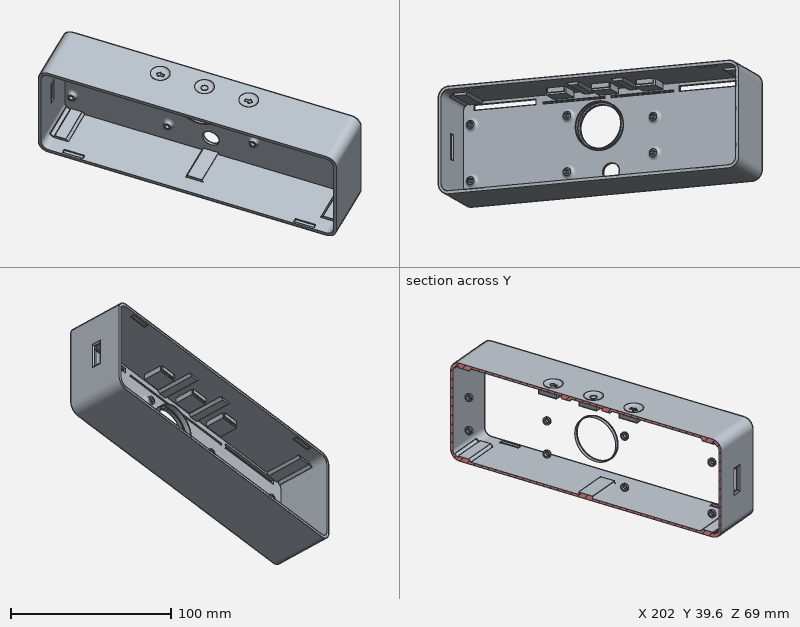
import cadquery as cq
import math

LENGTH = 202.0
DEPTH = 39.6
HEIGHT = 69.0
WALL = 2.0
OUTER_RADIUS = 7.0
INNER_RADIUS = OUTER_RADIUS - WALL

INNER_X = LENGTH / 2 - WALL
INNER_Z = HEIGHT / 2 - WALL
BACK_Y = DEPTH - WALL

BIG_HOLE_CENTER = (-7.0, 9.3)
BIG_HOLE_RADIUS = 13.9
COLLAR_OUTER_RADIUS = 15.5
COLLAR_INNER_RADIUS = 15.0
COLLAR_HEIGHT = 3.8
CABLE_HOLE_CENTER = (0.0, -20.3)
CABLE_HOLE_RADIUS = 5.6
VENT_BOTTOM = 27.1
VENT_TOP = 30.6
WIDE_VENTS = [(-92.2, -50.5), (45.9, 91.9)]
SLIT_TOP = 28.3
SLITS = [(-45.8, -4.1), (0.1, 42.0)]

POST_BASE_RADIUS = 4.9
POST_TIP_RADIUS = 2.5
POST_HEIGHT = 3.0
POST_HOLE_RADIUS = 1.4
LEFT_POST_XS = (-93.4, -28.4)
LEFT_POST_ZS = (17.5, -18.5)
RIGHT_POST_XS = (29.5, 87.7)
RIGHT_POST_ZS = (11.8, -11.4)

RAIL_HEIGHT = 1.7
RAIL_LENGTH = 26.2
CORNER_RAIL_START_X = 85.5
CORNER_RAIL_END_X = 95.0
CORNER_PAD_THICKNESS = 0.5
CORNER_PAD_END_ANGLE = 55.0
FLOOR_RAIL_WIDTH = 10.5
FLOOR_RAIL_FOOT_RADIUS = 0.8
CEILING_RAIL_X = 15.0
CEILING_RAIL_WIDTH = 8.8

BUTTON_SPACING = 30.0
BUTTON_Y = 27.4
DISH_RADIUS = 6.2
DISH_FLOOR_RADIUS = 4.4
DISH_DEPTH = 1.0
SYMBOL_DEPTH = 0.3
SYMBOL_RADIUS = 2.2
ARROW_HEAD_LENGTH = 2.2
ARROW_HEAD_WIDTH = 4.0
ARROW_SHAFT_LENGTH = 2.9
ARROW_SHAFT_WIDTH = 1.8
HOLDER_BOTTOM = 28.3
HOLDER_STEP_BOTTOM = 29.5
HOLDER_STEP_DEPTH = 1.0
HOLDER_DEPTH = 13.2
SIDE_HOLDER_WIDTHS = (13.2, 11.0)
MIDDLE_HOLDER_WIDTHS = (12.8, 11.8)

WINDOW_Y = 18.5
WINDOW_WIDTH = 4.3
WINDOW_HEIGHT = 16.4
WINDOW_FLARE = 1.2
WINDOW_FLARE_DEPTH = 0.7

GROOVE_X = 78.3
GROOVE_LENGTH = 13.6
GROOVE_FRONT_Y = 1.3
GROOVE_BACK_Y = 4.2
GROOVE_DEPTH = 0.8
GROOVE_SLOPE = 0.8


def block(x_range, y_range, z_range):
    """Axis-aligned box spanning the given (low, high) pairs."""
    (x0, x1), (y0, y1), (z0, z1) = x_range, y_range, z_range
    return cq.Workplane("XY").box(x1 - x0, y1 - y0, z1 - z0, centered=False).translate((x0, y0, z0))


def extrude_y(sketch_points, y0, y1):
    """Prism with an XZ outline running from y0 to y1."""
    return cq.Workplane("XZ", origin=(0, y1, 0)).polyline(sketch_points).close().extrude(y1 - y0)


def revolve_y(profile, center):
    """Body of revolution about a Y axis through center; profile is drawn in (radius, y)."""
    return profile.revolve(360, (0, 0), (0, 1)).translate((center[0], 0, center[1]))


def cylinder_y(radius, center, y0, y1):
    return cq.Workplane("XZ", origin=(center[0], y1, center[1])).circle(radius).extrude(y1 - y0)


def rounded_bar(length, height, radius, y0, y1):
    """Bar along Y with a rounded rectangular section."""
    bar = cq.Workplane("XZ", origin=(0, y1, 0)).rect(length, height).extrude(y1 - y0)
    return bar.edges("|Y").fillet(radius)


def shell():
    outer = rounded_bar(LENGTH, HEIGHT, OUTER_RADIUS, 0, DEPTH)
    return outer.cut(rounded_bar(2 * INNER_X, 2 * INNER_Z, INNER_RADIUS, 0, BACK_Y))


def hole_collar():
    """Thin ring standing around the big hole on the inside of the back wall."""
    tip_y = BACK_Y - COLLAR_HEIGHT
    outer = cylinder_y(COLLAR_OUTER_RADIUS, BIG_HOLE_CENTER, tip_y, BACK_Y)
    return outer.cut(cylinder_y(COLLAR_INNER_RADIUS, BIG_HOLE_CENTER, tip_y, BACK_Y))


def back_openings():
    cuts = cylinder_y(BIG_HOLE_RADIUS, BIG_HOLE_CENTER, BACK_Y, DEPTH)
    cuts = cuts.union(cylinder_y(CABLE_HOLE_RADIUS, CABLE_HOLE_CENTER, BACK_Y, DEPTH))
    for vent in WIDE_VENTS:
        cuts = cuts.union(block(vent, (BACK_Y, DEPTH), (VENT_BOTTOM, VENT_TOP)))
    for slit in SLITS:
        cuts = cuts.union(block(slit, (BACK_Y, DEPTH), (VENT_BOTTOM, SLIT_TOP)))
    return cuts


def post_centers():
    centers = []
    for xs, zs in ((LEFT_POST_XS, LEFT_POST_ZS), (RIGHT_POST_XS, RIGHT_POST_ZS)):
        centers += [(x, z) for x in xs for z in zs]
    return centers


def screw_post(center):
    """Post with a concave flare at its base and a screw hole down to the back wall."""
    tip_y = BACK_Y - POST_HEIGHT
    flare = POST_BASE_RADIUS - POST_TIP_RADIUS
    flare_mid = flare * (1 - math.sqrt(0.5))
    profile = (
        cq.Workplane("XY")
        .moveTo(POST_HOLE_RADIUS, BACK_Y)
        .lineTo(POST_BASE_RADIUS, BACK_Y)
        .threePointArc((POST_TIP_RADIUS + flare_mid, BACK_Y - flare_mid), (POST_TIP_RADIUS, BACK_Y - flare))
        .lineTo(POST_TIP_RADIUS, tip_y)
        .lineTo(POST_HOLE_RADIUS, tip_y)
        .close()
    )
    return revolve_y(profile, center)


def corner_rail():
    """Rail beside the lower right corner, ending in a pad that lines the lower part of the corner arc."""
    floor = -INNER_Z
    top = floor + RAIL_HEIGHT
    arc_x = INNER_X - INNER_RADIUS
    arc_z = floor + INNER_RADIUS

    def arc_point(radius, degrees):
        angle = math.radians(degrees)
        return (arc_x + radius * math.sin(angle), arc_z - radius * math.cos(angle))

    pad_radius = INNER_RADIUS - CORNER_PAD_THICKNESS
    pad_start = math.degrees(math.asin((CORNER_RAIL_END_X - arc_x) / pad_radius))
    pad_end = CORNER_PAD_END_ANGLE
    buried_radius = INNER_RADIUS + WALL / 2
    section = (
        cq.Workplane("XZ", origin=(0, BACK_Y, 0))
        .moveTo(CORNER_RAIL_START_X, floor)
        .lineTo(CORNER_RAIL_START_X + RAIL_HEIGHT, top)
        .lineTo(CORNER_RAIL_END_X, top)
        .lineTo(*arc_point(pad_radius, pad_start))
        .threePointArc(arc_point(pad_radius, (pad_start + pad_end) / 2), arc_point(pad_radius, pad_end))
        .lineTo(*arc_point(buried_radius, pad_end))
        .threePointArc(arc_point(buried_radius, pad_end / 2), arc_point(buried_radius, 0))
        .lineTo(arc_x, floor)
        .close()
    )
    return section.extrude(RAIL_LENGTH)


def corner_rails():
    right = corner_rail()
    right = right.union(right.mirror("XY"))
    return right.union(right.mirror("YZ"))


def floor_rail():
    """Central floor rail with upright sides on concave rounded feet."""
    half = FLOOR_RAIL_WIDTH / 2
    floor = -INNER_Z
    top = floor + RAIL_HEIGHT
    foot = FLOOR_RAIL_FOOT_RADIUS
    foot_mid = foot * (1 - math.sqrt(0.5))
    section = (
        cq.Workplane("XZ", origin=(0, BACK_Y, 0))
        .moveTo(-half - foot, floor)
        .threePointArc((-half - foot_mid, floor + foot_mid), (-half, floor + foot))
        .lineTo(-half, top)
        .lineTo(half, top)
        .lineTo(half, floor + foot)
        .threePointArc((half + foot_mid, floor + foot_mid), (half + foot, floor))
        .close()
    )
    return section.extrude(RAIL_LENGTH)


def ceiling_rail(x):
    half = CEILING_RAIL_WIDTH / 2
    section = [
        (x - half, INNER_Z),
        (x - half + RAIL_HEIGHT, INNER_Z - RAIL_HEIGHT),
        (x + half - RAIL_HEIGHT, INNER_Z - RAIL_HEIGHT),
        (x + half, INNER_Z),
    ]
    return extrude_y(section, BACK_Y - RAIL_LENGTH, BACK_Y)


def button_holder(x, widths):
    """Block under a button with a shallower, narrower step on its front face."""
    body_half = widths[0] / 2
    step_half = widths[1] / 2
    front = BUTTON_Y - HOLDER_DEPTH / 2
    body = block((x - body_half, x + body_half), (front, front + HOLDER_DEPTH), (HOLDER_BOTTOM, INNER_Z))
    step_y = (front - HOLDER_STEP_DEPTH, front)
    return body.union(block((x - step_half, x + step_half), step_y, (HOLDER_STEP_BOTTOM, INNER_Z)))


def button_dish(x):
    """Shallow round dish with a flat floor and a side that curves up to the top face."""
    rim_width = DISH_RADIUS - DISH_FLOOR_RADIUS
    curve_radius = (rim_width**2 + DISH_DEPTH**2) / (2 * DISH_DEPTH)
    half_angle = math.asin(rim_width / curve_radius) / 2
    middle = (
        DISH_FLOOR_RADIUS + curve_radius * math.sin(half_angle),
        curve_radius * (1 - math.cos(half_angle)) - DISH_DEPTH,
    )
    profile = (
        cq.Workplane("XZ")
        .moveTo(0, 0)
        .lineTo(0, -DISH_DEPTH)
        .lineTo(DISH_FLOOR_RADIUS, -DISH_DEPTH)
        .threePointArc(middle, (DISH_RADIUS, 0))
        .close()
    )
    return profile.revolve(360, (0, 0), (0, 1)).translate((x, BUTTON_Y, HEIGHT / 2))


def symbol_plane(x):
    return cq.Workplane("XY", origin=(x, BUTTON_Y, HEIGHT / 2 - DISH_DEPTH))


def arrow_symbol(x, direction):
    """Arrow engraved in a dish floor, pointing along direction (+1 or -1) in X."""
    tail = -(ARROW_HEAD_LENGTH + ARROW_SHAFT_LENGTH) / 2
    neck = tail + ARROW_SHAFT_LENGTH
    tip = neck + ARROW_HEAD_LENGTH
    shaft = ARROW_SHAFT_WIDTH / 2
    head = ARROW_HEAD_WIDTH / 2
    upper = [(tail, shaft), (neck, shaft), (neck, head), (tip, 0)]
    lower = [(neck, -head), (neck, -shaft), (tail, -shaft)]
    points = [(direction * u, v) for u, v in upper + lower]
    return symbol_plane(x).polyline(points).close().extrude(-SYMBOL_DEPTH)


def button_cuts():
    cuts = symbol_plane(0).circle(SYMBOL_RADIUS).extrude(-SYMBOL_DEPTH)
    for side in (-1, 1):
        cuts = cuts.union(arrow_symbol(side * BUTTON_SPACING, side))
    for index in (-1, 0, 1):
        cuts = cuts.union(button_dish(index * BUTTON_SPACING))
    return cuts


def socket_window():
    """Rectangular window through the left wall, flared toward the outside."""
    straight = block(
        (-LENGTH / 2, -INNER_X),
        (WINDOW_Y - WINDOW_WIDTH / 2, WINDOW_Y + WINDOW_WIDTH / 2),
        (-WINDOW_HEIGHT / 2, WINDOW_HEIGHT / 2),
    )
    flare = (
        cq.Workplane("YZ", origin=(-LENGTH / 2, WINDOW_Y, 0))
        .rect(WINDOW_WIDTH + 2 * WINDOW_FLARE, WINDOW_HEIGHT + 2 * WINDOW_FLARE)
        .workplane(offset=WINDOW_FLARE_DEPTH)
        .rect(WINDOW_WIDTH, WINDOW_HEIGHT)
        .loft(ruled=True)
    )
    return straight.union(flare)


def catch_groove(x):
    """Floor groove with a sloped front side and an upright back side."""
    floor = -INNER_Z
    section = [
        (GROOVE_FRONT_Y, floor),
        (GROOVE_FRONT_Y + GROOVE_SLOPE, floor - GROOVE_DEPTH),
        (GROOVE_BACK_Y, floor - GROOVE_DEPTH),
        (GROOVE_BACK_Y, floor),
    ]
    groove = cq.Workplane("YZ", origin=(x - GROOVE_LENGTH / 2, 0, 0)).polyline(section).close()
    return groove.extrude(GROOVE_LENGTH)


def build():
    body = shell().union(corner_rails()).union(floor_rail()).union(hole_collar())
    for side in (-1, 1):
        body = body.union(ceiling_rail(side * CEILING_RAIL_X))
        body = body.union(button_holder(side * BUTTON_SPACING, SIDE_HOLDER_WIDTHS))
    body = body.union(button_holder(0, MIDDLE_HOLDER_WIDTHS))
    for center in post_centers():
        body = body.union(screw_post(center))
    body = body.cut(back_openings()).cut(button_cuts()).cut(socket_window())
    for side in (-1, 1):
        groove = catch_groove(side * GROOVE_X)
        body = body.cut(groove).cut(groove.mirror("XY"))
    return body


result = build()